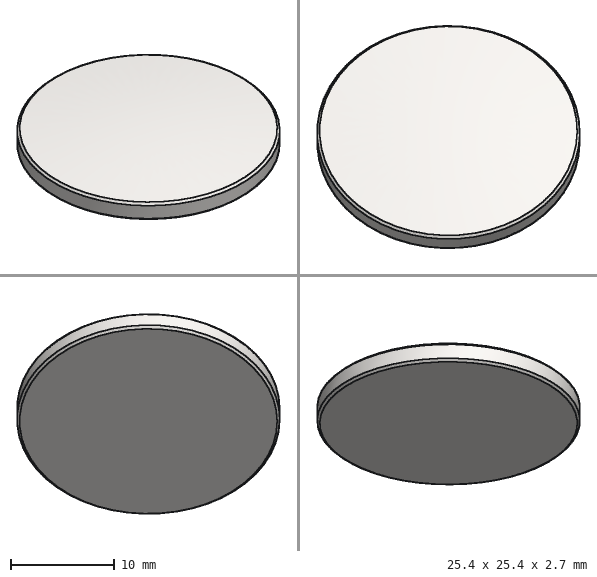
import cadquery as cq

diameter = 25.4
center_thickness = 2.7
edge_thickness = 2.03
chamfer = 0.25

radius = diameter / 2
face_radius = radius - chamfer

sagitta = center_thickness - edge_thickness
sphere_radius = (face_radius**2 + sagitta**2) / (2 * sagitta)

mid_radius = face_radius / 2
mid_height = center_thickness - sphere_radius + (sphere_radius**2 - mid_radius**2) ** 0.5

half_profile = (
    cq.Workplane("YZ")
    .moveTo(0, 0)
    .lineTo(face_radius, 0)
    .lineTo(radius, chamfer)
    .lineTo(radius, edge_thickness - chamfer)
    .lineTo(face_radius, edge_thickness)
    .threePointArc((mid_radius, mid_height), (0, center_thickness))
    .close()
)

result = half_profile.revolve(360, (0, 0, 0), (0, 1, 0))